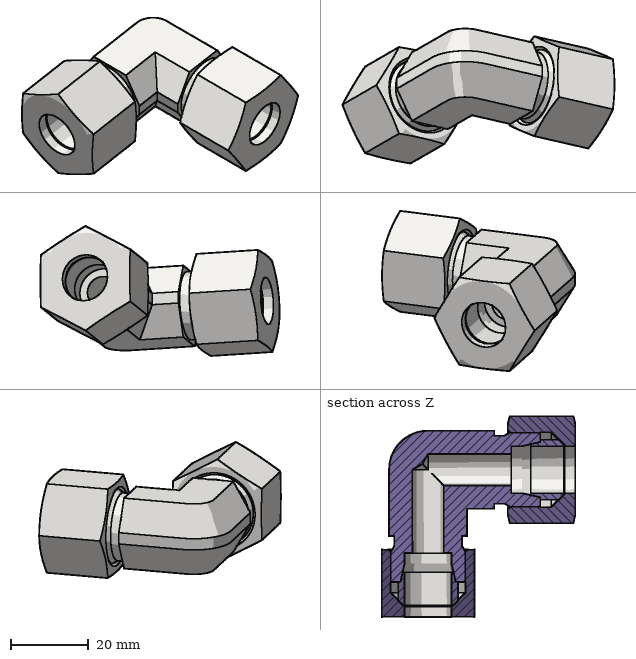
import cadquery as cq
import math


nut_corner_radius = 13.85
overall_length = 51.85
nut_outer_reach = overall_length - nut_corner_radius
nut_inner_reach = 20.55
nut_chamfer_radius = 11.9
nut_chamfer_angle = 15.0
nut_lip_length = 2.7
nut_mouth_radius = 10.3
nut_lip_reach = nut_outer_reach - nut_lip_length

tube_radius = 12.1 / 2
passage_radius = 8.05 / 2
thread_radius = 9.65
tube_stop_reach = 21.5
drill_tip_angle = 120.0
drill_tip_length = passage_radius / math.tan(math.radians(drill_tip_angle / 2))

forging_height = 19.0
forging_width = 20.15
shoulder_reach = 17.1
neck_radius = 8.8
neck_end_reach = 19.7
neck_cone_angle = 30.0
neck_cone_length = (thread_radius - neck_radius) / math.tan(math.radians(neck_cone_angle))
thread_start_reach = neck_end_reach + neck_cone_length
thread_end_reach = 29.0

socket_mouth_radius = 7.05
socket_taper = math.tan(math.radians(12.0))
socket_cone_end_reach = thread_end_reach - (socket_mouth_radius - tube_radius) / socket_taper
ring_tip_reach = 26.45
ring_tip_radius = socket_mouth_radius - (thread_end_reach - ring_tip_reach) * socket_taper
ring_body_radius = 7.8
ring_back_gap = 0.35
ring_back_reach = nut_lip_reach - ring_back_gap


def turned(points):
    """Revolve an outline of (reach, radius) points about the X axis."""
    return cq.Workplane("XY").polyline(points).close().revolve(360, (0, 0, 0), (1, 0, 0))


def on_minus_y(shape):
    """Swing a shape from the +X leg onto the -Y leg."""
    return shape.rotate((0, 0, 0), (0, 0, 1), -90)


def forging_half_section():
    """(offset, height) points of one half of the trimmed hexagon section."""
    half_width = forging_width / 2
    half_height = forging_height / 2
    hexagon_corner = forging_height / math.sqrt(3)
    top_half_width = hexagon_corner / 2
    side_half_height = (hexagon_corner - half_width) * math.sqrt(3)
    return [
        (top_half_width, half_height),
        (half_width, side_half_height),
        (half_width, -side_half_height),
        (top_half_width, -half_height),
    ]


def forging_leg():
    half = forging_half_section()
    other_half = [(-offset, height) for offset, height in reversed(half)]
    return cq.Workplane("YZ").polyline(half + other_half).close().extrude(shoulder_reach)


def forging_corner():
    """Rounded outer corner: the half section turned about the Z axis."""
    half_height = forging_height / 2
    outline = [(0, half_height)] + forging_half_section() + [(0, -half_height)]
    return cq.Workplane("XZ").polyline(outline).close().revolve(360, (0, 0, 0), (0, 1, 0))


def threaded_end():
    return turned([
        (0, 0),
        (0, neck_radius),
        (neck_end_reach, neck_radius),
        (thread_start_reach, thread_radius),
        (thread_end_reach, thread_radius),
        (thread_end_reach, 0),
    ])


def leg_bore():
    """Drilled passage with its cone tip, tube socket and tapered socket mouth."""
    return turned([
        (-drill_tip_length, 0),
        (0, passage_radius),
        (tube_stop_reach, passage_radius),
        (tube_stop_reach, tube_radius),
        (socket_cone_end_reach, tube_radius),
        (thread_end_reach, socket_mouth_radius),
        (thread_end_reach, 0),
    ])


def make_elbow():
    leg = forging_leg().union(threaded_end())
    outside = forging_corner().union(leg).union(on_minus_y(leg))
    return outside.cut(leg_bore()).cut(on_minus_y(leg_bore()))


def make_nut():
    """Union nut on the +X leg, with two hexagon corners at +Y and -Y."""
    hexagon = (
        cq.Workplane("YZ", origin=(nut_inner_reach, 0, 0))
        .polygon(6, 2 * nut_corner_radius)
        .extrude(nut_outer_reach - nut_inner_reach)
    )
    chamfer_length = (nut_corner_radius - nut_chamfer_radius) * math.tan(math.radians(nut_chamfer_angle))
    chamfered_blank = turned([
        (nut_inner_reach, 0),
        (nut_inner_reach, nut_chamfer_radius),
        (nut_inner_reach + chamfer_length, nut_corner_radius),
        (nut_outer_reach - chamfer_length, nut_corner_radius),
        (nut_outer_reach, nut_chamfer_radius),
        (nut_outer_reach, 0),
    ])
    cavity = turned([
        (nut_inner_reach, 0),
        (nut_inner_reach, nut_mouth_radius),
        (nut_inner_reach + nut_mouth_radius - thread_radius, thread_radius),
        (nut_lip_reach - (thread_radius - tube_radius), thread_radius),
        (nut_lip_reach, tube_radius),
        (nut_outer_reach, tube_radius),
        (nut_outer_reach, 0),
    ])
    return hexagon.intersect(chamfered_blank).cut(cavity)


def make_cutting_ring():
    """Ring on the +X leg: its back bears on the nut seat, its tip in the tapered socket."""
    return turned([
        (ring_tip_reach, tube_radius),
        (ring_tip_reach, ring_tip_radius),
        (thread_end_reach, socket_mouth_radius),
        (thread_end_reach, ring_body_radius),
        (nut_lip_reach - (ring_body_radius - tube_radius), ring_body_radius),
        (ring_back_reach, tube_radius + ring_back_gap),
        (ring_back_reach, tube_radius),
    ])


elbow = make_elbow()

nut_turns = {"plus_x": 0, "minus_y": 90}
nuts = []
cutting_rings = []
for leg_name, turn in nut_turns.items():
    nut = make_nut().rotate((0, 0, 0), (1, 0, 0), turn)
    ring = make_cutting_ring()
    if leg_name == "minus_y":
        nut = on_minus_y(nut)
        ring = on_minus_y(ring)
    nuts.append(nut.val())
    cutting_rings.append(ring.val())

result = cq.Compound.makeCompound([elbow.val(), *nuts, *cutting_rings])